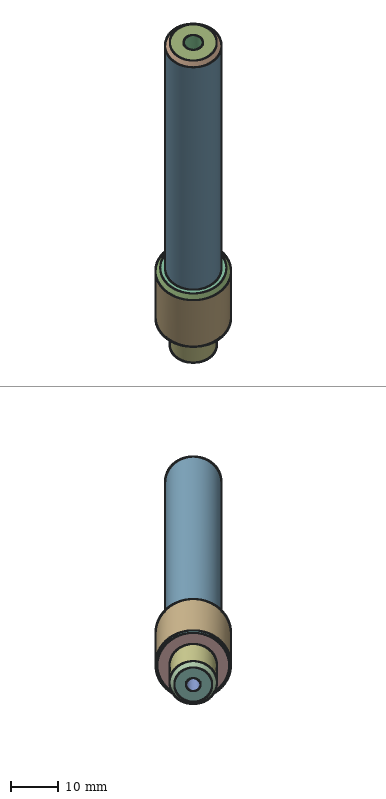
import cadquery as cq
import math

total_length = 101.5
tip_length = 9.5
collar_length = 17.0
tip_diameter = 10.0
collar_diameter = 16.0
shaft_diameter = 12.0

edge_chamfer = 1.0
collar_bottom_chamfer = 0.4

bore_diameter = 3.0
wide_bore_diameter = 4.1
wide_bore_depth = 10.2
drill_point_angle = 140.0

bottom_z = -total_length / 2
collar_bottom_z = bottom_z + tip_length
shaft_bottom_z = collar_bottom_z + collar_length
top_z = total_length / 2


def cylinder(diameter, start_z, end_z):
    """Solid cylinder on the Z axis between two heights."""
    return cq.Workplane("XY").workplane(offset=start_z).circle(diameter / 2).extrude(end_z - start_z)


tip = cylinder(tip_diameter, bottom_z, collar_bottom_z).faces("<Z").chamfer(edge_chamfer)
collar = cylinder(collar_diameter, collar_bottom_z, shaft_bottom_z)
collar = collar.faces(">Z").chamfer(edge_chamfer).faces("<Z").chamfer(collar_bottom_chamfer)
shaft = cylinder(shaft_diameter, shaft_bottom_z, top_z).faces(">Z").chamfer(edge_chamfer)
pin = tip.union(collar).union(shaft)

bore = cylinder(bore_diameter, bottom_z, top_z)
shoulder_z = top_z - wide_bore_depth
wide_radius = wide_bore_diameter / 2
point_depth = wide_radius / math.tan(math.radians(drill_point_angle / 2))
wide_bore = (
    cq.Workplane("XZ")
    .moveTo(0, top_z)
    .lineTo(wide_radius, top_z)
    .lineTo(wide_radius, shoulder_z)
    .lineTo(0, shoulder_z - point_depth)
    .close()
    .revolve(360, (0, 0), (0, 1))
)
result = pin.cut(bore).cut(wide_bore)